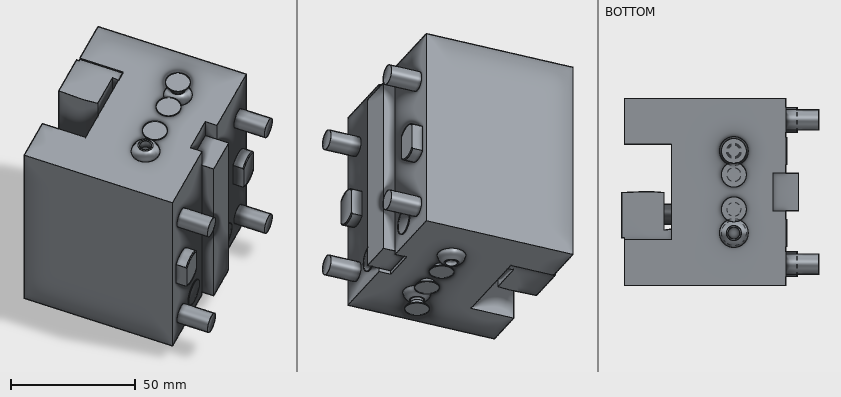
import cadquery as cq

overall_height = 102.1
block_length = 64.7
block_width = 75.0
block_height = 86.5

slot_depth = 18.9
slot_width = 38.1

jaw_overhang = 1.1
jaw_end_gap = 0.7
jaw_wall_gap = 0.7
jaw_inner_x = 15.9
jaw_face_y = 0.2
jaw_crown = 0.4
crown_start_x = 8.1
crown_end_x = 10.8
tab_inner_y = 15.2
tab_taper = 0.4
jaw_pin_diameter = 8.2
jaw_pin_y = 8.9

mount_center_z = -3.4
pin_diameter = 8.2
pin_projection = 13.3
pin_spacing_y = 57.8
pin_spacing_z = 57.8
key_width = 15.2
key_height = 76.6
key_projection = 5.1
keyway_depth = 5.1
stud_diameter = 15.0
stud_across_flats = 10.0
stud_projection = 4.7
stud_chamfer = 0.4
pad_diameter = 10.9
pad_projection = 0.4
pad_z = -32.5

screw_x = 43.9
dome_y = 16.4
plain_screw_y = 6.9
dome_base_diameter = 11.5
dome_mid_diameter = 9.7
dome_mid_height = 2.1
dome_top_diameter = 6.0
dome_height = 3.6
socket_diameter = 4.7
head_diameter = 10.0
neck_diameter = 5.2
head_rim = 0.4
head_cone_height = 2.7
neck_embed = 1.0
plain_screw_projection = 2.9

half_height = block_height / 2
tall_screw_projection = (overall_height - block_height) / 2


def box_between(x_range, y_range, z_range):
    """Axis-aligned box given by its limits along each axis."""
    sizes = [high - low for low, high in (x_range, y_range, z_range)]
    corner = (x_range[0], y_range[0], z_range[0])
    return cq.Workplane("XY").box(*sizes, centered=False).translate(corner)


def rod_along_x(diameter, x_start, x_end, y, z):
    """Cylinder parallel to X between two X positions."""
    rod = cq.Workplane("YZ").circle(diameter / 2).extrude(x_end - x_start)
    return rod.translate((x_start, y, z))


def make_block():
    """Slotted block with a keyway along its mounting face."""
    block = box_between(
        (0, block_length),
        (-block_width / 2, block_width / 2),
        (-half_height, half_height),
    )
    slot = box_between(
        (0, slot_depth),
        (-slot_width / 2, slot_width / 2),
        (-half_height, half_height),
    )
    keyway = box_between(
        (block_length - keyway_depth, block_length),
        (-key_width / 2, key_width / 2),
        (-half_height, half_height),
    )
    return block.cut(slot).cut(keyway)


def make_jaw():
    """Jaw with a slightly crowned -Y face and a tab reaching the slot floor."""
    wall_y = slot_width / 2
    jaw_height = block_height - 2 * jaw_end_gap
    jaw = (
        cq.Workplane("XY")
        .workplane(offset=-jaw_height / 2)
        .moveTo(-jaw_overhang, jaw_face_y)
        .lineTo(crown_start_x, jaw_face_y - jaw_crown)
        .lineTo(crown_end_x, jaw_face_y - jaw_crown)
        .lineTo(jaw_inner_x, jaw_face_y)
        .lineTo(jaw_inner_x, tab_inner_y)
        .lineTo(slot_depth, tab_inner_y - tab_taper)
        .lineTo(slot_depth, wall_y)
        .lineTo(0, wall_y)
        .lineTo(0, wall_y - jaw_wall_gap)
        .lineTo(-jaw_overhang, wall_y - jaw_wall_gap)
        .close()
        .extrude(jaw_height)
    )
    return jaw.union(rod_along_x(jaw_pin_diameter, jaw_inner_x, slot_depth, jaw_pin_y, 0))


def make_stud(y):
    """Round stud with two flats facing +Y and -Y and a chamfered end."""
    stud = rod_along_x(
        stud_diameter, block_length, block_length + stud_projection, y, mount_center_z
    )
    stud = stud.faces(">X").chamfer(stud_chamfer)
    flats = box_between(
        (block_length, block_length + stud_projection),
        (y - stud_across_flats / 2, y + stud_across_flats / 2),
        (mount_center_z - stud_diameter / 2, mount_center_z + stud_diameter / 2),
    )
    return stud.intersect(flats)


def make_mount():
    """Key, pins, studs and pads on the +X face."""
    mount = box_between(
        (block_length - keyway_depth, block_length + key_projection),
        (-key_width / 2, key_width / 2),
        (mount_center_z - key_height / 2, mount_center_z + key_height / 2),
    )
    for side in (-1, 1):
        pin_y = side * pin_spacing_y / 2
        mount = mount.union(make_stud(pin_y))
        for level in (-1, 1):
            pin_z = mount_center_z + level * pin_spacing_z / 2
            pin_end = block_length + pin_projection
            mount = mount.union(rod_along_x(pin_diameter, block_length, pin_end, pin_y, pin_z))
        pad_end = block_length + pad_projection
        mount = mount.union(rod_along_x(pad_diameter, block_length, pad_end, side * dome_y, pad_z))
    return mount


def make_dome(y):
    """Rounded nozzle standing on the top face."""
    dome = (
        cq.Workplane("XZ")
        .lineTo(dome_base_diameter / 2, 0)
        .threePointArc((dome_mid_diameter / 2, dome_mid_height), (dome_top_diameter / 2, dome_height))
        .lineTo(0, dome_height)
        .close()
        .revolve(360, (0, 0), (0, 1))
    )
    return dome.translate((screw_x, y, half_height))


def make_socket(y):
    """Bore of an empty nozzle, down to the block face."""
    socket = cq.Workplane("XY").circle(socket_diameter / 2).extrude(dome_height)
    return socket.translate((screw_x, y, half_height))


def make_screw(y, projection):
    """Countersunk-head screw whose flat head stands off the top face."""
    cone_top = projection - head_rim
    cone_bottom = cone_top - head_cone_height
    screw = (
        cq.Workplane("XZ")
        .moveTo(0, -neck_embed)
        .lineTo(neck_diameter / 2, -neck_embed)
        .lineTo(neck_diameter / 2, cone_bottom)
        .lineTo(head_diameter / 2, cone_top)
        .lineTo(head_diameter / 2, projection)
        .lineTo(0, projection)
        .close()
        .revolve(360, (0, 0), (0, 1))
    )
    return screw.translate((screw_x, y, half_height))


def make_end_fittings():
    """One end set: two nozzles, one holding a screw, and two plain screws."""
    fittings = make_dome(dome_y).union(make_dome(-dome_y).cut(make_socket(-dome_y)))
    fittings = fittings.union(make_screw(dome_y, tall_screw_projection))
    for side in (-1, 1):
        fittings = fittings.union(make_screw(side * plain_screw_y, plain_screw_projection))
    return fittings


end_fittings = make_end_fittings()
result = make_block().union(make_jaw()).union(make_mount())
result = result.union(end_fittings)
result = result.union(end_fittings.rotate((0, 0, 0), (1, 0, 0), 180))